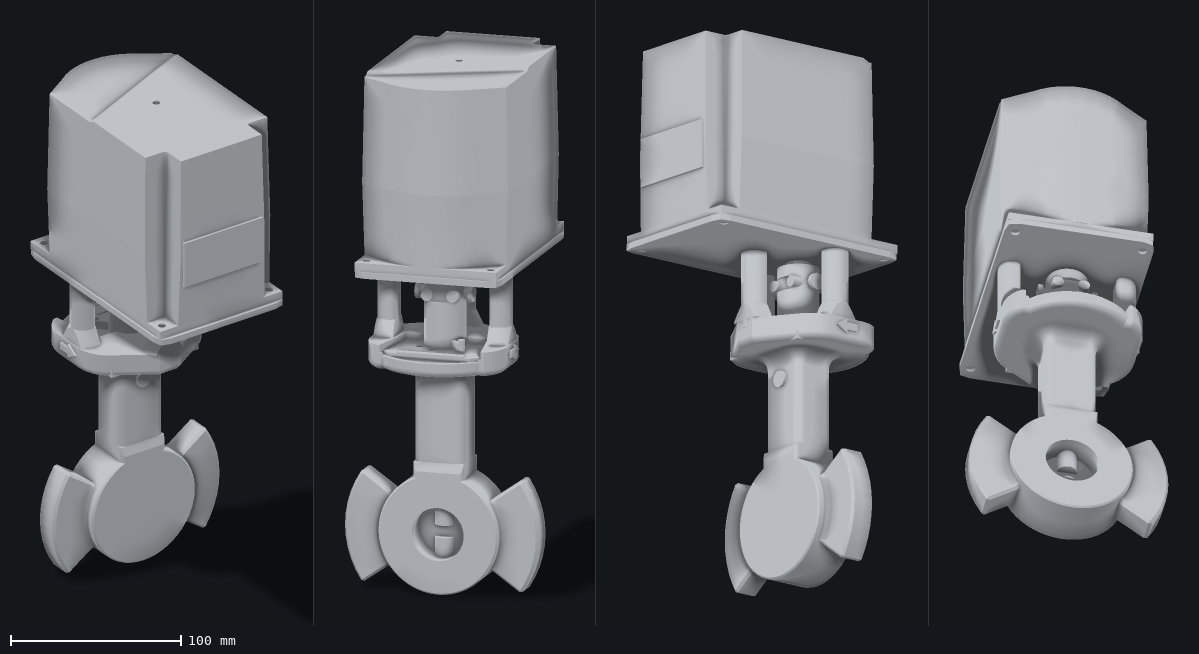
import cadquery as cq
import math


overall_height = 313.5
overall_depth = 119.5

ring_radius = 36.7
ring_width = 30.0
ring_edge = 1.0
bore_diameter = 32.0
bore_depth = ring_width / 2
shaft_diameter = 12.0
shaft_gap_top = 3.0
shaft_gap_bottom = -4.5

lug_radius = overall_depth / 2
lug_width = 16.0
lug_half_angle = 35
lug_chamfer = 1.5
lug_rim_start = 39.8
lug_root_radius = 4.5

neck_x = 26.3
neck_y = 31.0
neck_corner = 5.0
neck_foot_top = 43.0
neck_foot_rise = 5.5
neck_foot_corner = 2.5
neck_flare = 8.0
button_diameter = 10.0
button_thickness = 2.0
button_z = 85.0

flange_bottom = 101.0
flange_top = 116.0
flange_half_y = 42.0
flange_right = 41.0
flange_left = -30.0
flange_side_left = -13.8
flange_side_right = 6.5
flange_shoulder_x = 24.5
flange_arm_half_y = 7.0
flange_edge = 4.0
lip_radius = 42.0
lip_half_y = 33.2
lip_top = 111.5
recess_inner_x = 3.0
recess_inner_half_y = 25.0
groove_radius = 39.0
groove_chord_x = 30.0
groove_depth = 2.5
lip_rim_top = 109.7
strip_left = -30.5
strip_right = -25.5
strip_half_y = 20.5
strip_height = 1.0
stop_holes = ((-8.8, 13.0), (-15.0, 3.5))
stop_hole_diameter = 4.7
stop_hole_depth = 1.5

arrow_start = -9.0
arrow_neck = -1.3
arrow_tip = 6.3
arrow_shaft_half = 2.2
arrow_head_half = 4.5
arrow_z = 110.7
arrow_relief = 1.5

post_diameter = 16.0
post_outer = 41.5
post_inner = 28.8
post_inner_corner = 3.5
post_foot_diameter = 25.0
post_foot_top = 126.0

coupling_diameter = 25.0
coupling_top = 154.5
clamp_z = 143.5
clamp_height = 8.0
clamp_half_x = 10.5
screw_diameter = 7.0
screw_offset = 7.8
screw_tip_x = 12.5
bolt_diameter = 7.0
bolt_head_diameter = 10.0
bolt_head_inner = 15.0
bolt_head_outer = 17.5
motor_shaft_diameter = 14.5

pointer_length = 20.7
pointer_width = 4.7
pointer_angle = 225
pointer_top = 117.0
pointer_pin_diameter = 4.0
pointer_pin_top = 118.8

plate_left = -40.8
plate_right = 97.0
plate_half_y = 44.8
plate_bottom = 158.0
plate_top = 161.8
plate_corner = 7.8
plate_corner_rise = 1.5
plinth_left = -39.5
plinth_top = 167.0
housing_left = -41.0
housing_right = 96.0
housing_half_y = 44.8
housing_side_end = -20.5
housing_arc_x = -31.5
housing_arc_half_y = 28.0
parting_z = 211.3
housing_top = overall_height - ring_radius
housing_draft = 1.3
plinth_right = housing_right - housing_draft
plinth_half_y = housing_half_y - housing_draft
notch_x = 81.2
notch_y = 28.8
notch_widening = 2.05
low_roof_drop = 2.05
ramp_width = 3.8
ramp_back_x = -17.5
ramp_front_x = 21.5
screw_hole_diameter = 5.0
screw_hole_x = (-33.0, 88.7)
screw_hole_y = 38.2
roof_hole_diameter = 4.7
roof_hole_x = 27.5
roof_hole_depth = 1.5
tag_right = 97.2
tag_half_y = 28.2
tag_bottom = 193.0
tag_top = 222.5


def block(x0, x1, y0, y1, z0, z1):
    return cq.Workplane("XY").box(x1 - x0, y1 - y0, z1 - z0, centered=False).translate((x0, y0, z0))


def upright(diameter, z0, z1, x=0, y=0):
    return cq.Workplane("XY").workplane(offset=z0).center(x, y).circle(diameter / 2).extrude(z1 - z0)


def along_x(diameter, x0, x1, y=0, z=0):
    return cq.Workplane("YZ").workplane(offset=x0).center(y, z).circle(diameter / 2).extrude(x1 - x0)


def draft_angle(offset, height):
    """Taper in degrees that moves a wall sideways by the offset over the height."""
    return math.degrees(math.atan(offset / height))


def both_sides(shape):
    return shape.union(shape.mirror("XZ"))


def make_ring():
    """Plain ring body with broken edges, still without its bore."""
    half = ring_width / 2
    return along_x(2 * ring_radius, -half, half).faces("<X or >X").chamfer(ring_edge)


def make_lugs():
    """Sectors revolved about the bore axis, with a round root against the ring."""
    half = lug_width / 2
    root = ring_radius - ring_edge
    blend = lug_root_radius
    mid = blend * (1 - math.sqrt(0.5))
    profile = (
        cq.Workplane("XY")
        .moveTo(-half, 0)
        .lineTo(-half - blend, 0)
        .lineTo(-half - blend, root)
        .threePointArc((-half - mid, root + mid), (-half, root + blend))
        .lineTo(-half, lug_radius)
        .lineTo(half, lug_radius)
        .lineTo(half, root + blend)
        .threePointArc((half + mid, root + mid), (half + blend, root))
        .lineTo(half + blend, 0)
        .close()
    )
    lug = profile.revolve(2 * lug_half_angle, (0, 0, 0), (1, 0, 0))
    lug = lug.rotate((0, 0, 0), (1, 0, 0), -lug_half_angle)
    rim_zone = cq.selectors.BoxSelector(
        (-half - blend, lug_rim_start, -lug_radius), (half + blend, lug_radius, lug_radius)
    )
    lug = lug.edges(rim_zone).chamfer(lug_chamfer)
    return both_sides(lug)


def make_neck():
    """Square neck with a round button, a wider bevelled foot and a hollow flare at the top."""
    neck = block(-neck_x / 2, neck_x / 2, -neck_y / 2, neck_y / 2, 0, flange_bottom)
    neck = neck.edges("|Z").fillet(neck_corner)
    foot = block(-ring_width / 2, ring_width / 2, -neck_y / 2, neck_y / 2, 0, neck_foot_top)
    foot = foot.edges("|Z").fillet(neck_foot_corner)
    step = (ring_width - neck_x) / 2
    for side in (-1, 1):
        bevel = (
            cq.Workplane("XZ")
            .polyline([
                (side * ring_width / 2, neck_foot_top - neck_foot_rise),
                (side * (ring_width / 2 - step), neck_foot_top),
                (side * ring_width / 2, neck_foot_top),
            ])
            .close()
            .extrude(neck_y, both=True)
        )
        foot = foot.cut(bevel)
    collar = block(-neck_x, neck_x, -neck_y, neck_y, flange_bottom, (flange_bottom + lip_top) / 2)
    zone_margin = 0.3
    zone_reach = neck_y / 2 + zone_margin
    flare_zone = cq.selectors.BoxSelector(
        (-zone_reach, -zone_reach, flange_bottom - zone_margin),
        (zone_reach, zone_reach, flange_bottom + zone_margin),
    )
    neck = neck.union(collar).edges(flare_zone).fillet(neck_flare)
    button = along_x(button_diameter, 0, neck_x / 2 + button_thickness, z=button_z)
    return neck.union(foot).union(button)


def flange_corner_radius(run):
    """Radius of a corner arc tangent to the long flange side, given its length along X."""
    drop = flange_half_y - lip_half_y
    return (run ** 2 + drop ** 2) / (2 * drop)


def make_flange():
    """Three-armed plate with a round lip towards -X and a recess behind the lip."""
    half_plate = (
        cq.Workplane("XY")
        .workplane(offset=flange_bottom)
        .moveTo(flange_left, 0)
        .lineTo(flange_left, -lip_half_y)
        .radiusArc((flange_side_left, -flange_half_y), -flange_corner_radius(flange_side_left - flange_left))
        .lineTo(flange_side_right, -flange_half_y)
        .radiusArc(
            (flange_shoulder_x, -lip_half_y), -flange_corner_radius(flange_shoulder_x - flange_side_right)
        )
        .lineTo(flange_right, -flange_arm_half_y)
        .lineTo(flange_right, 0)
        .close()
        .extrude(flange_top - flange_bottom)
    )
    plate = both_sides(half_plate)
    lip = upright(2 * lip_radius, flange_bottom, lip_top)
    lip = lip.intersect(block(-lip_radius, 0, -lip_half_y, lip_half_y, flange_bottom, lip_top))
    flange = plate.union(lip).faces("<Z").edges().fillet(flange_edge)
    recess = (
        cq.Workplane("XY")
        .workplane(offset=lip_top)
        .polyline([
            (-lip_radius, -lip_half_y), (recess_inner_x, -recess_inner_half_y),
            (recess_inner_x, recess_inner_half_y), (-lip_radius, lip_half_y),
        ])
        .close()
        .extrude(flange_top - lip_top)
    )
    groove = upright(2 * groove_radius, lip_top - groove_depth, lip_top)
    groove = groove.intersect(
        block(-lip_radius, -groove_chord_x, -lip_half_y, lip_half_y, lip_top - groove_depth, lip_top)
    )
    rim = upright(2 * lip_radius, lip_rim_top, lip_top).cut(upright(2 * groove_radius, lip_rim_top, lip_top))
    rim = rim.intersect(block(-lip_radius, 0, -lip_half_y, lip_half_y, lip_rim_top, lip_top))
    flange = flange.cut(recess).cut(groove).cut(rim)
    strip = block(
        strip_left, strip_right, -strip_half_y, strip_half_y, lip_top - groove_depth, lip_top + strip_height
    )
    for x, y in stop_holes:
        flange = flange.cut(upright(stop_hole_diameter, lip_top - stop_hole_depth, lip_top, x, y))
    return flange.union(strip)


def make_arrows():
    """Raised arrows pointing towards +X."""
    arrow = (
        cq.Workplane("XZ")
        .workplane(offset=flange_half_y - arrow_relief)
        .polyline([
            (arrow_start, arrow_z - arrow_shaft_half), (arrow_neck, arrow_z - arrow_shaft_half),
            (arrow_neck, arrow_z - arrow_head_half), (arrow_tip, arrow_z),
            (arrow_neck, arrow_z + arrow_head_half), (arrow_neck, arrow_z + arrow_shaft_half),
            (arrow_start, arrow_z + arrow_shaft_half),
        ])
        .close()
        .extrude(2 * arrow_relief)
    )
    return both_sides(arrow)


def make_posts():
    """Posts that are round outside and square inside, on conical feet, at -Y, +X and +Y."""
    radius = post_diameter / 2
    centre = post_outer - radius
    inner = block(post_inner, centre, -radius, radius, lip_top, plate_bottom)
    inner = inner.edges("|Z and <X").fillet(post_inner_corner)
    outer = upright(post_diameter, lip_top, plate_bottom, x=centre)
    outer = outer.intersect(block(centre, post_outer, -radius, radius, lip_top, plate_bottom))
    post = inner.union(outer)
    spread = (post_foot_diameter - post_diameter) / 2
    foot_height = post_foot_top - flange_top
    foot = (
        cq.Workplane("XY")
        .workplane(offset=flange_top)
        .center(centre, 0)
        .circle(post_foot_diameter / 2)
        .extrude(foot_height, taper=draft_angle(spread, foot_height))
    )
    foot_limits = block(post_inner, post_outer, -post_diameter, post_diameter, lip_top, post_foot_top)
    foot = foot.intersect(foot_limits)
    post = post.union(foot)
    posts = post
    for angle in (-90, 90):
        posts = posts.union(post.rotate((0, 0, 0), (0, 0, 1), angle))
    return posts


def make_coupling():
    """Split coupling with a flattened clamp zone, two X screws and two Y bolt heads."""
    radius = coupling_diameter / 2
    coupling = upright(coupling_diameter, flange_bottom, coupling_top)
    low = clamp_z - clamp_height / 2
    high = clamp_z + clamp_height / 2
    for x0, x1 in ((-radius, -clamp_half_x), (clamp_half_x, radius)):
        coupling = coupling.cut(block(x0, x1, -radius, radius, low, high))
    for y in (-screw_offset, screw_offset):
        coupling = coupling.union(along_x(screw_diameter, -screw_tip_x, screw_tip_x, y, clamp_z))
    bolt = cq.Workplane("XZ").center(0, clamp_z).circle(bolt_diameter / 2).extrude(bolt_head_outer)
    head = (
        cq.Workplane("XZ")
        .workplane(offset=bolt_head_inner)
        .center(0, clamp_z)
        .circle(bolt_head_diameter / 2)
        .extrude(bolt_head_outer - bolt_head_inner)
    )
    coupling = coupling.union(both_sides(bolt.union(head)))
    return coupling.union(upright(motor_shaft_diameter, coupling_top, plate_bottom))


def make_pointer():
    """Flat arm with an upright pin at its end, lying on the recess floor."""
    arm = block(0, pointer_length, -pointer_width / 2, pointer_width / 2, lip_top, pointer_top)
    pin = upright(pointer_pin_diameter, lip_top, pointer_pin_top, x=pointer_length)
    return arm.union(pin).rotate((0, 0, 0), (0, 0, 1), pointer_angle)


def make_plate():
    """Base plate with softly broken corners and the plinth that carries the housing."""
    x0, x1, y1 = plate_left, plate_right, plate_half_y
    far, near = plate_corner, plate_corner_rise
    corner = [(0, far), (near, near), (far, 0)]
    points = [(x0 + dx, -y1 + dy) for dx, dy in corner]
    points += [(x1 - dx, -y1 + dy) for dx, dy in reversed(corner)]
    points += [(x1 - dx, y1 - dy) for dx, dy in corner]
    points += [(x0 + dx, y1 - dy) for dx, dy in reversed(corner)]
    plate = (
        cq.Workplane("XY")
        .workplane(offset=plate_bottom)
        .polyline(points)
        .close()
        .extrude(plate_top - plate_bottom)
    )
    plinth = block(plinth_left, plinth_right, -plinth_half_y, plinth_half_y, plate_top, plinth_top)
    return plate.union(plinth)


def housing_half(height):
    """One drafted half of the housing, standing on the parting plane."""
    return (
        cq.Workplane("XY")
        .moveTo(housing_side_end, -housing_half_y)
        .lineTo(housing_right, -housing_half_y)
        .lineTo(housing_right, housing_half_y)
        .lineTo(housing_side_end, housing_half_y)
        .lineTo(housing_arc_x, housing_arc_half_y)
        .threePointArc((housing_left, 0), (housing_arc_x, -housing_arc_half_y))
        .close()
        .extrude(height, taper=draft_angle(housing_draft, height))
    )


def make_housing():
    """Two drafted halves with corner notches, a stepped roof, a roof hole and a side tag."""
    upper = housing_half(housing_top - parting_z).translate((0, 0, parting_z))
    lower = housing_half(parting_z - plinth_top).mirror("XY").translate((0, 0, parting_z))
    housing = upper.union(lower)

    height = housing_top - plinth_top
    far = 2 * plate_half_y
    notch = (
        cq.Workplane("XY")
        .workplane(offset=plinth_top)
        .center(notch_x, notch_y + notch_widening)
        .rect(far, far, centered=False)
        .extrude(height, taper=-draft_angle(notch_widening, height))
    )
    housing = housing.cut(both_sides(notch))

    slope = (ramp_back_x - ramp_front_x) / (2 * plinth_half_y)
    front_x = ramp_front_x - slope * plinth_half_y
    back_x = ramp_back_x + slope * plinth_half_y
    low_roof = (
        cq.Workplane("XY")
        .workplane(offset=housing_top - low_roof_drop)
        .polyline([
            (-2 * far, -2 * plinth_half_y), (front_x, -2 * plinth_half_y),
            (back_x, 2 * plinth_half_y), (-2 * far, 2 * plinth_half_y),
        ])
        .close()
        .extrude(low_roof_drop, taper=-draft_angle(ramp_width, low_roof_drop))
    )
    housing = housing.cut(low_roof)
    roof_hole = upright(roof_hole_diameter, housing_top - roof_hole_depth, housing_top, x=roof_hole_x)
    tag = block(notch_x, tag_right, -tag_half_y, tag_half_y, tag_bottom, tag_top)
    return housing.cut(roof_hole).union(tag)


result = make_ring()
for piece in (
    make_lugs(), make_neck(), make_flange(), make_arrows(), make_posts(),
    make_coupling(), make_pointer(), make_plate(), make_housing(),
):
    result = result.union(piece)

bore = along_x(bore_diameter, -bore_depth, 0)
shaft = upright(shaft_diameter, -ring_radius, shaft_gap_bottom)
shaft = shaft.union(upright(shaft_diameter, shaft_gap_top, ring_radius))
result = result.cut(bore.cut(shaft))

for x in screw_hole_x:
    for y in (-screw_hole_y, screw_hole_y):
        result = result.cut(upright(screw_hole_diameter, plate_bottom, plinth_top, x, y))